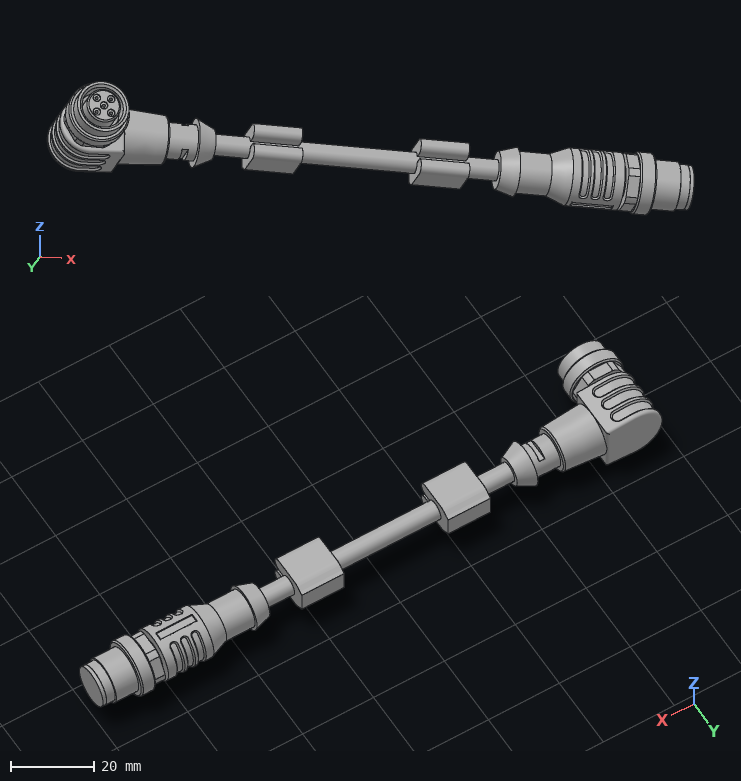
import math

import cadquery as cq


CABLE_DIAMETER = 5.2
PLUG_TIP_X = 149.6

RING_DIAMETER = 15.0
RING_LENGTH = 4.0
RING_CHAMFER = 0.4
HEX_DIAMETER = 14.0
HEX_ACROSS_FLATS = 13.0
HEX_LENGTH = 2.9
HEX_SIDES = 6
NUT_NECK_DIAMETER = 8.8

HEAD_RADIUS = 7.5
HEAD_HALF_DEPTH = 7.15
HEAD_END_X = 8.4
HEAD_FLAT_TILT = 4.0
HEAD_EDGE_FILLET = 0.8
HEAD_GROOVE_PITCH = 4.1
HEAD_GROOVE_WIDTH = 3.3
HEAD_GROOVE_FLOOR = 2.5
HEAD_GROOVE_END_X = 4.9

SOCKET_NUT_Y = -8.0
SOCKET_SLEEVE_DIAMETER = 12.8
SOCKET_SLEEVE_END_Y = -18.6
SOCKET_BORE_DIAMETER = 10.2
SOCKET_BORE_DEPTH = 5.0
INSERT_DIAMETER = 8.3
INSERT_END_Y = -19.4
CONTACT_DIAMETER = 0.7
CONTACT_DEPTH = 3.0
CONTACT_RECESS_DIAMETER = 1.8
CONTACT_RECESS_DEPTH = 0.3
CONTACT_CIRCLE_RADIUS = 2.5
CONTACT_COUNT = 4
CONTACT_START_ANGLE = 45.0
INSERT_CHAMFER = 0.4
SLEEVE_MOUTH_CHAMFER = 0.6

RELIEF_START_DIAMETER = 13.6
RELIEF_OVERLAP = 1.0
RELIEF_END_DIAMETER = 12.0
RELIEF_END_X = 19.8
RELIEF_NECK_DIAMETER = 8.8
RELIEF_END_CHAMFER = 0.4
COLLAR_DIAMETER = 12.0
COLLAR_X = 27.2
COLLAR_TIP_DIAMETER = 7.6
COLLAR_TIP_X = 31.7
NECK_SLOT_X = 23.5
NECK_SLOT_WIDTH = 1.5
NECK_SLOT_FLOOR = 3.1

PLUG_START_X = 102.0
PLUG_START_DIAMETER = 9.3
PLUG_COLLAR_X = 106.5
PLUG_COLLAR_DIAMETER = 12.0
PLUG_NECK_DIAMETER = 10.2
PLUG_CONE_X = 114.5
PLUG_BODY_X = 119.3
PLUG_BODY_DIAMETER = 14.0
PLUG_BODY_END_X = 132.1
PLUG_NUT_X = 133.0
PLUG_SLEEVE_DIAMETER = 12.0
PLUG_SLEEVE_END_X = 146.2
PLUG_TIP_DIAMETER = 10.95
PLUG_TIP_RIM_DIAMETER = 10.8
PLUG_TIP_RIM_LENGTH = 1.0

GRIP_CENTER_X = 125.55
GRIP_PITCH = 3.0
GRIP_GROOVE_WIDTH = 2.2
GRIP_GROOVE_FLOOR = 1.5
GRIP_END_ANGLE = 33.0
POCKET_LENGTH = 10.2
POCKET_WIDTH = 2.2
POCKET_FLOOR = 6.5

GROOVE_DEPTH = 0.5
GROOVE_COUNT = 3

CLIP_STARTS_X = (40.5, 81.8)
CLIP_LENGTH = 12.0
CLIP_HALF_HEIGHT = 4.5
CLIP_FRONT_Y = -6.4
CLIP_BACK_Y = 5.9
CLIP_BACK_HALF_HEIGHT = 3.0
CLIP_SLOT_HALF_HEIGHT = 0.7
CLIP_FLAT_END_Y = 2.6
CLIP_SHOULDER_Y = 4.0
CLIP_SHOULDER_Z = 4.1
CLIP_RAIL_Y = 5.1
CLIP_RAIL_Z = 3.4


def turned(outline):
    """Solid of revolution about X from a list of (x, diameter) corners."""
    points = [(x, diameter / 2) for x, diameter in outline]
    points = [(points[0][0], 0)] + points + [(points[-1][0], 0)]
    return cq.Workplane("XY").polyline(points).close().revolve(360, (0, 0), (1, 0))


def disc(start_x, end_x, diameter):
    """Plain cylinder along X."""
    return turned([(start_x, diameter), (end_x, diameter)])


def along_socket(solid):
    """Turn a solid built along +X so that it runs along -Y."""
    return solid.rotate((0, 0, 0), (0, 0, 1), -90)


def coupling_nut(start_x):
    """Rounded hexagon followed by the grip ring, running along +X."""
    ring_x = start_x + HEX_LENGTH
    hexagon = (
        cq.Workplane("YZ", origin=(start_x, 0, 0))
        .polygon(HEX_SIDES, HEX_ACROSS_FLATS, circumscribed=True)
        .extrude(HEX_LENGTH)
        .rotate((0, 0, 0), (1, 0, 0), 180 / HEX_SIDES)
    )
    hexagon = hexagon.intersect(disc(start_x, ring_x, HEX_DIAMETER))
    ring = disc(ring_x, ring_x + RING_LENGTH, RING_DIAMETER).edges().chamfer(RING_CHAMFER)
    return hexagon.union(ring)


def grip_groove(radius, width, floor_width, sweep, straight=0.0):
    """Cutter for a round-ended groove with sloped walls, in the plane x = 0.

    It starts at the top (+Z), turns about X toward -Y through the sweep angle,
    and can run on along the tangent at both ends.
    """
    floor = radius - GROOVE_DEPTH
    top = radius + GROOVE_DEPTH
    top_width = 2 * width - floor_width
    section = [
        (-floor_width / 2, floor),
        (floor_width / 2, floor),
        (top_width / 2, top),
        (-top_width / 2, top),
    ]
    arc = cq.Workplane("XZ").polyline(section).close().revolve(sweep, (0, 0), (1, 0))
    round_end = cq.Workplane(
        cq.Solid.makeCone(floor_width / 2, top_width / 2, top - floor, cq.Vector(0, straight, floor))
    )
    end = round_end
    if straight > 0:
        end = end.union(cq.Workplane("XZ").polyline(section).close().extrude(-straight))
    far_end = end.mirror("XZ").rotate((0, 0, 0), (1, 0, 0), sweep)
    return arc.union(end).union(far_end)


def groove_offsets(pitch):
    """Evenly spaced groove positions, centred on zero."""
    return [(index - (GROOVE_COUNT - 1) / 2) * pitch for index in range(GROOVE_COUNT)]


def socket_head():
    """Half-round housing with two flats that close slightly toward the cable."""
    tilt = math.radians(HEAD_FLAT_TILT)
    tangent_x = HEAD_RADIUS * math.sin(tilt)
    tangent_z = HEAD_RADIUS * math.cos(tilt)
    end_z = tangent_z - (HEAD_END_X - tangent_x) * math.tan(tilt)
    head = (
        cq.Workplane("XZ", origin=(0, HEAD_HALF_DEPTH, 0))
        .moveTo(HEAD_END_X, -end_z)
        .lineTo(HEAD_END_X, end_z)
        .lineTo(tangent_x, tangent_z)
        .threePointArc((-HEAD_RADIUS, 0), (tangent_x, -tangent_z))
        .close()
        .extrude(2 * HEAD_HALF_DEPTH)
        .faces("<Y or >Y")
        .edges()
        .fillet(HEAD_EDGE_FILLET)
    )
    straight = HEAD_GROOVE_END_X - HEAD_GROOVE_FLOOR / 2 - tangent_x
    groove = grip_groove(
        HEAD_RADIUS, HEAD_GROOVE_WIDTH, HEAD_GROOVE_FLOOR, 180 + 2 * HEAD_FLAT_TILT, straight
    )
    groove = along_socket(groove).rotate((0, 0, 0), (0, 1, 0), HEAD_FLAT_TILT)
    for offset in groove_offsets(HEAD_GROOVE_PITCH):
        head = head.cut(groove.translate((0, offset, 0)))
    return head


def seal_ring(floor_x):
    """Round seal that fills the gap around the insert, half sunk in the floor of the sleeve bore."""
    section_radius = (SOCKET_BORE_DIAMETER - INSERT_DIAMETER) / 4
    center_radius = SOCKET_BORE_DIAMETER / 2 - section_radius
    return (
        cq.Workplane("XY", origin=(floor_x, 0, 0))
        .center(0, center_radius)
        .circle(section_radius)
        .revolve(360, (0, -center_radius), (1, -center_radius))
    )


def contact_holes(face_x):
    """Cutter for one central contact hole and a ring of others, each in a shallow round recess."""
    holes = cq.Workplane("YZ")
    for diameter, depth in (
        (CONTACT_DIAMETER, CONTACT_DEPTH),
        (CONTACT_RECESS_DIAMETER, CONTACT_RECESS_DEPTH),
    ):
        plane = cq.Workplane("YZ", origin=(face_x, 0, 0))
        holes = holes.union(plane.circle(diameter / 2).extrude(-depth))
        ring = plane.polarArray(CONTACT_CIRCLE_RADIUS, CONTACT_START_ANGLE, 360, CONTACT_COUNT)
        holes = holes.union(ring.circle(diameter / 2).extrude(-depth))
    return holes


def socket_front():
    """Neck, coupling nut, hollow sleeve and contact insert, built along +X and turned to -Y."""
    nut_x = -SOCKET_NUT_Y
    sleeve_x = nut_x + HEX_LENGTH + RING_LENGTH
    sleeve_end = -SOCKET_SLEEVE_END_Y
    insert_end = -INSERT_END_Y
    bore_x = sleeve_end - SOCKET_BORE_DEPTH
    front = disc(0, nut_x, NUT_NECK_DIAMETER)
    front = front.union(coupling_nut(nut_x))
    front = front.union(disc(sleeve_x, sleeve_end, SOCKET_SLEEVE_DIAMETER))
    bore = turned(
        [
            (bore_x, SOCKET_BORE_DIAMETER),
            (sleeve_end - SLEEVE_MOUTH_CHAMFER, SOCKET_BORE_DIAMETER),
            (sleeve_end, SOCKET_BORE_DIAMETER + 2 * SLEEVE_MOUTH_CHAMFER),
        ]
    )
    front = front.cut(bore).union(seal_ring(bore_x))
    insert = disc(bore_x, insert_end, INSERT_DIAMETER).faces(">X").chamfer(INSERT_CHAMFER)
    insert = insert.cut(contact_holes(insert_end))
    return along_socket(front.union(insert))


def socket_strain_relief():
    """Tapered sleeve, slotted neck and conical end collar."""
    relief = turned(
        [
            (HEAD_END_X - RELIEF_OVERLAP, RELIEF_START_DIAMETER),
            (HEAD_END_X, RELIEF_START_DIAMETER),
            (RELIEF_END_X - RELIEF_END_CHAMFER, RELIEF_END_DIAMETER),
            (RELIEF_END_X, RELIEF_END_DIAMETER - 2 * RELIEF_END_CHAMFER),
            (RELIEF_END_X, RELIEF_NECK_DIAMETER),
            (COLLAR_X, RELIEF_NECK_DIAMETER),
            (COLLAR_X, COLLAR_DIAMETER),
            (COLLAR_TIP_X, COLLAR_TIP_DIAMETER),
        ]
    )
    slot_height = RELIEF_NECK_DIAMETER / 2 - NECK_SLOT_FLOOR
    slot = cq.Workplane("XY").box(
        NECK_SLOT_WIDTH, RELIEF_NECK_DIAMETER, slot_height, centered=(False, True, False)
    )
    slot = slot.translate((NECK_SLOT_X, 0, NECK_SLOT_FLOOR))
    return relief.cut(slot).cut(slot.mirror("XY"))


def plug_body():
    """Turned moulding with three finger grooves on each side and a shallow pocket above and below."""
    body = turned(
        [
            (PLUG_START_X, PLUG_START_DIAMETER),
            (PLUG_COLLAR_X, PLUG_COLLAR_DIAMETER),
            (PLUG_COLLAR_X, PLUG_NECK_DIAMETER),
            (PLUG_CONE_X, PLUG_NECK_DIAMETER),
            (PLUG_BODY_X, PLUG_BODY_DIAMETER),
            (PLUG_BODY_END_X, PLUG_BODY_DIAMETER),
        ]
    )
    groove = grip_groove(
        PLUG_BODY_DIAMETER / 2, GRIP_GROOVE_WIDTH, GRIP_GROOVE_FLOOR, 180 - 2 * GRIP_END_ANGLE
    )
    groove = groove.rotate((0, 0, 0), (1, 0, 0), GRIP_END_ANGLE)
    for offset in groove_offsets(GRIP_PITCH):
        placed = groove.translate((GRIP_CENTER_X + offset, 0, 0))
        body = body.cut(placed).cut(placed.mirror("XZ"))
    pocket = cq.Workplane("XY", origin=(GRIP_CENTER_X, 0, POCKET_FLOOR))
    pocket = pocket.rect(POCKET_LENGTH, POCKET_WIDTH).extrude(PLUG_BODY_DIAMETER / 2 - POCKET_FLOOR)
    return body.cut(pocket).cut(pocket.mirror("XY"))


def plug_front():
    """Neck, coupling nut, sleeve and stepped tip."""
    sleeve_x = PLUG_NUT_X + HEX_LENGTH + RING_LENGTH
    rim_x = PLUG_TIP_X - PLUG_TIP_RIM_LENGTH
    sleeve = turned(
        [
            (sleeve_x, PLUG_SLEEVE_DIAMETER),
            (PLUG_SLEEVE_END_X, PLUG_SLEEVE_DIAMETER),
            (PLUG_SLEEVE_END_X, PLUG_TIP_DIAMETER),
            (rim_x, PLUG_TIP_DIAMETER),
            (rim_x, PLUG_TIP_RIM_DIAMETER),
            (PLUG_TIP_X, PLUG_TIP_RIM_DIAMETER),
        ]
    )
    neck = disc(PLUG_BODY_END_X, PLUG_NUT_X, NUT_NECK_DIAMETER)
    return neck.union(coupling_nut(PLUG_NUT_X)).union(sleeve)


def clip(start_x):
    """Extruded cable clip with two rounded lips at the front and a stepped rail at the back."""
    lip_radius = (CLIP_HALF_HEIGHT - CLIP_SLOT_HALF_HEIGHT) / 2
    lip_y = CLIP_FRONT_Y + lip_radius
    lip_z = CLIP_SLOT_HALF_HEIGHT + lip_radius
    profile = (
        cq.Workplane("YZ", origin=(start_x, 0, 0))
        .moveTo(0, CLIP_SLOT_HALF_HEIGHT)
        .lineTo(lip_y, CLIP_SLOT_HALF_HEIGHT)
        .threePointArc((CLIP_FRONT_Y, lip_z), (lip_y, CLIP_HALF_HEIGHT))
        .lineTo(CLIP_FLAT_END_Y, CLIP_HALF_HEIGHT)
        .tangentArcPoint((CLIP_SHOULDER_Y, CLIP_SHOULDER_Z), relative=False)
        .lineTo(CLIP_RAIL_Y, CLIP_RAIL_Z)
        .lineTo(CLIP_BACK_Y, CLIP_BACK_HALF_HEIGHT)
        .lineTo(CLIP_BACK_Y, 0)
        .lineTo(0, 0)
        .close()
    )
    upper_half = profile.extrude(CLIP_LENGTH)
    return upper_half.union(upper_half.mirror("XY"))


def cable():
    """Round cable joining the two ends."""
    return disc(HEAD_END_X, PLUG_BODY_X, CABLE_DIAMETER)


result = socket_head().union(socket_front()).union(socket_strain_relief())
result = result.union(cable()).union(plug_body()).union(plug_front())
for clip_x in CLIP_STARTS_X:
    result = result.union(clip(clip_x))